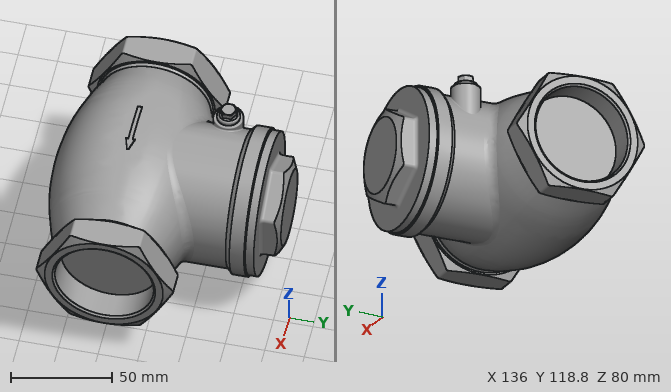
import cadquery as cq
import math


length = 136.0
half_length = length / 2
port_flats = 60.5
port_hex_length = 15.5
port_corner_radius = 1.8
port_face_diameter = 60.0
bore_diameter = 50.0
bore_depth = 15.0
bore_mouth_diameter = 52.2
bore_mouth_depth = 1.1

barrel_radius = 39.8
barrel_half_length = 50.6
barrel_end_radius = 28.4
collar_radius = 29.0

branch_diameter = 70.0
branch_blend = 5.5
flange_diameter = 75.0
flange_base_y = 54.4
flange_top_y = 64.7
flange_edge_chamfer = 0.5

lid_diameter = 73.0
lid_top_y = 69.0
lid_hex_flats = 44.2
lid_hex_top_y = 79.0
lid_hex_corner_radius = 2.0
lid_hex_root_radius = 2.0
lid_hex_face_diameter = 38.9

hex_chamfer_slope = 0.49

boss_x = -23.4
boss_y = 43.1
boss_diameter = 15.0
boss_top_z = 33.2
boss_rim_radius = 0.5
boss_blend = 0.5
washer_diameter = 11.5
washer_height = 2.3
washer_edge_radius = 1.1
plug_root_height = 0.5
plug_flats = 7.2
plug_top_z = 38.9
plug_corner_radius = 0.3
plug_face_diameter = 7.1

margin = 0.1

arrow_height = 0.4
arrow_tail_x = -15.6
arrow_head_x = 6.3
arrow_tip_x = 12.6
arrow_shaft_width = 2.2
arrow_head_width = 4.6
arrow_tip_width = 0.8


def across_corners(flats):
    return flats / math.cos(math.pi / 6)


def chamfered_hex(flats, height, corner_radius, face_diameter, both_ends):
    """Hexagon along +Z from Z = 0, corners on local X, with conical chamfers at its ends."""
    hexagon = cq.Workplane("XY").polygon(6, across_corners(flats)).extrude(height)
    hexagon = hexagon.edges("|Z").fillet(corner_radius)
    face_radius = face_diameter / 2
    outer_radius = across_corners(flats) / 2
    drop = (outer_radius - face_radius) * hex_chamfer_slope
    outline = cq.Workplane("XZ").moveTo(0, 0)
    if both_ends:
        outline = outline.lineTo(face_radius, 0).lineTo(outer_radius, drop)
    else:
        outline = outline.lineTo(outer_radius, 0)
    envelope = (
        outline.lineTo(outer_radius, height - drop)
        .lineTo(face_radius, height)
        .lineTo(0, height)
        .close()
        .revolve(360, (0, 0, 0), (0, 1, 0))
    )
    return hexagon.intersect(envelope)


def barrel(offset):
    """Barrel with an arc profile, grown outward by the offset."""
    end_radius = barrel_end_radius + offset
    return (
        cq.Workplane("XY")
        .moveTo(-barrel_half_length, 0)
        .lineTo(-barrel_half_length, end_radius)
        .threePointArc((0, barrel_radius + offset), (barrel_half_length, end_radius))
        .lineTo(barrel_half_length, 0)
        .close()
        .revolve(360, (0, 0, 0), (1, 0, 0))
    )


def y_cylinder(diameter, start_y, end_y):
    return (
        cq.Workplane("XZ", origin=(0, start_y, 0))
        .circle(diameter / 2)
        .extrude(start_y - end_y)
    )


def pipe_end():
    """Hexagon and flared collar at the -X end."""
    hexagon = chamfered_hex(
        port_flats, port_hex_length, port_corner_radius, port_face_diameter, both_ends=True
    )
    hexagon = (
        hexagon.rotate((0, 0, 0), (0, 0, 1), 90)
        .rotate((0, 0, 0), (0, 1, 0), 90)
        .translate((-half_length, 0, 0))
    )
    hex_inner_x = -half_length + port_hex_length
    collar = (
        cq.Workplane("XY")
        .moveTo(hex_inner_x, 0)
        .lineTo(hex_inner_x, collar_radius)
        .lineTo(-barrel_half_length, barrel_end_radius)
        .lineTo(-barrel_half_length, 0)
        .close()
        .revolve(360, (0, 0, 0), (1, 0, 0))
    )
    return hexagon.union(collar)


def bore():
    """Blind bore with a tapered mouth at the -X end."""
    bore_radius = bore_diameter / 2
    return (
        cq.Workplane("XY")
        .moveTo(-half_length, 0)
        .lineTo(-half_length, bore_mouth_diameter / 2)
        .lineTo(-half_length + bore_mouth_depth, bore_radius)
        .lineTo(-half_length + bore_depth, bore_radius)
        .lineTo(-half_length + bore_depth, 0)
        .close()
        .revolve(360, (0, 0, 0), (1, 0, 0))
    )


def flange():
    """Flange around the branch mouth, tapered down to the branch diameter."""
    outer_radius = flange_diameter / 2
    branch_radius = branch_diameter / 2
    taper = outer_radius - branch_radius
    return (
        cq.Workplane("XY")
        .moveTo(0, flange_base_y)
        .lineTo(branch_radius, flange_base_y)
        .lineTo(outer_radius, flange_base_y + taper)
        .lineTo(outer_radius, flange_top_y - flange_edge_chamfer)
        .lineTo(outer_radius - flange_edge_chamfer, flange_top_y)
        .lineTo(0, flange_top_y)
        .close()
        .revolve(360, (0, 0, 0), (0, 1, 0))
    )


def add_boss(body):
    """Round boss that runs down into the branch beside its axis, blended at its foot."""
    boss = (
        cq.Workplane("XY", origin=(boss_x, boss_y, 0))
        .circle(boss_diameter / 2)
        .extrude(boss_top_z)
        .faces(">Z")
        .edges()
        .fillet(boss_rim_radius)
    )
    reach = boss_diameter / 2 + margin
    foot = cq.selectors.BoxSelector(
        (boss_x - reach, boss_y - reach, margin),
        (boss_x + reach, boss_y + reach, boss_top_z - boss_rim_radius - margin),
        boundingbox=True,
    )
    return body.union(boss).edges(foot).edges("not |Z").fillet(boss_blend)


def plug_head():
    """Washer with a rounded edge, flared root and small hexagon head on top of the boss."""
    washer = cq.Workplane("XY").circle(washer_diameter / 2).extrude(washer_height)
    washer = washer.faces(">Z").edges().fillet(washer_edge_radius)
    root = cq.Workplane(
        cq.Solid.makeCone(
            washer_diameter / 2 - washer_edge_radius,
            plug_flats / 2,
            plug_root_height,
            cq.Vector(0, 0, washer_height),
        )
    )
    head = chamfered_hex(
        plug_flats, plug_top_z - boss_top_z, plug_corner_radius, plug_face_diameter, both_ends=False
    ).rotate((0, 0, 0), (0, 0, 1), 90)
    return washer.union(root).union(head).translate((boss_x, boss_y, boss_top_z))


def flow_arrow():
    """Arrow pointing to +X that stands a little above the barrel's top."""
    shaft = arrow_shaft_width / 2
    head = arrow_head_width / 2
    tip = arrow_tip_width / 2
    prism = (
        cq.Workplane("XY")
        .polyline(
            [
                (arrow_tail_x, -shaft),
                (arrow_head_x, -shaft),
                (arrow_head_x, -head),
                (arrow_tip_x, -tip),
                (arrow_tip_x, tip),
                (arrow_head_x, head),
                (arrow_head_x, shaft),
                (arrow_tail_x, shaft),
            ]
        )
        .close()
        .extrude(barrel_radius + 2 * arrow_height)
    )
    shell = barrel(arrow_height).cut(barrel(-arrow_height))
    return prism.intersect(shell)


def housing_body():
    branch = y_cylinder(branch_diameter, 0, flange_base_y)
    body = barrel(0).union(branch)
    joint = cq.selectors.BoxSelector(
        (-barrel_half_length + margin, margin, -barrel_radius),
        (barrel_half_length - margin, flange_base_y - margin, barrel_radius),
        boundingbox=True,
    )
    body = body.edges(joint).fillet(branch_blend)
    body = add_boss(body)
    inlet = pipe_end()
    inlet_bore = bore()
    body = body.union(inlet).union(inlet.mirror("YZ"))
    body = body.cut(inlet_bore).cut(inlet_bore.mirror("YZ"))
    return body.union(flange()).union(plug_head()).union(flow_arrow())


def lid_body():
    hex_height = lid_hex_top_y - lid_top_y
    hexagon = chamfered_hex(
        lid_hex_flats, hex_height, lid_hex_corner_radius, lid_hex_face_diameter, both_ends=False
    )
    hexagon = (
        hexagon.rotate((0, 0, 0), (0, 0, 1), 90)
        .rotate((0, 0, 0), (1, 0, 0), -90)
        .translate((0, lid_top_y, 0))
    )
    lid = y_cylinder(lid_diameter, flange_top_y, lid_top_y).union(hexagon)
    hex_reach = across_corners(lid_hex_flats) / 2 + margin
    hex_root = cq.selectors.BoxSelector(
        (-hex_reach, lid_top_y - margin, -hex_reach),
        (hex_reach, lid_top_y + margin, hex_reach),
        boundingbox=True,
    )
    return lid.edges(hex_root).fillet(lid_hex_root_radius)


housing = housing_body()
lid = lid_body()
result = cq.Compound.makeCompound([housing.val(), lid.val()])